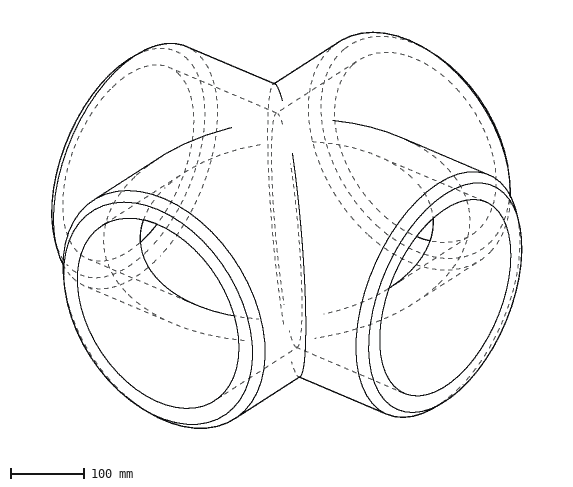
import cadquery as cq

length = 558.0
outer_diameter = 356.0
bore_diameter = 284.5
bevel_depth = 11.5
bevel_length = 13.0


def pipe_body(plane):
    """Solid pipe centred on the origin along local Y of the plane, with bevelled ends."""
    outer_radius = outer_diameter / 2
    end_radius = outer_radius - bevel_depth
    half_length = length / 2
    shoulder = half_length - bevel_length
    return (
        cq.Workplane(plane)
        .moveTo(0, -half_length)
        .lineTo(end_radius, -half_length)
        .lineTo(outer_radius, -shoulder)
        .lineTo(outer_radius, shoulder)
        .lineTo(end_radius, half_length)
        .lineTo(0, half_length)
        .close()
        .revolve(360, (0, 0), (0, 1))
    )


def pipe_bore(plane):
    """Through bore along the normal of the given plane."""
    return cq.Workplane(plane).circle(bore_diameter / 2).extrude(length / 2, both=True)


body = pipe_body("ZX").union(pipe_body("ZY"))
result = body.cut(pipe_bore("YZ")).cut(pipe_bore("XZ"))